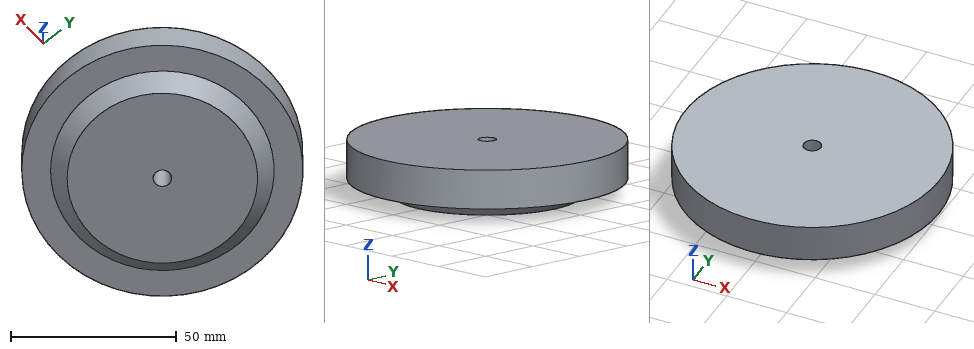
import cadquery as cq

disc_diameter = 84.8
total_height = 17.0
disc_thickness = 12.0

hub_height = total_height - disc_thickness
hub_bottom_diameter = 57.4
hub_top_diameter = hub_bottom_diameter + 2 * hub_height

bore_diameter = 5.53


def wheel_body():
    """Revolve the half section of the disc and its hub about Z, hub face at Z = 0."""
    return (
        cq.Workplane("XZ")
        .moveTo(0, 0)
        .lineTo(hub_bottom_diameter / 2, 0)
        .lineTo(hub_top_diameter / 2, hub_height)
        .lineTo(disc_diameter / 2, hub_height)
        .lineTo(disc_diameter / 2, total_height)
        .lineTo(0, total_height)
        .close()
        .revolve(360, (0, 0, 0), (0, 1, 0))
    )


def central_bore():
    """Cylinder that removes the through hole along the axis."""
    return cq.Workplane("XY").circle(bore_diameter / 2).extrude(total_height)


result = wheel_body().cut(central_bore())